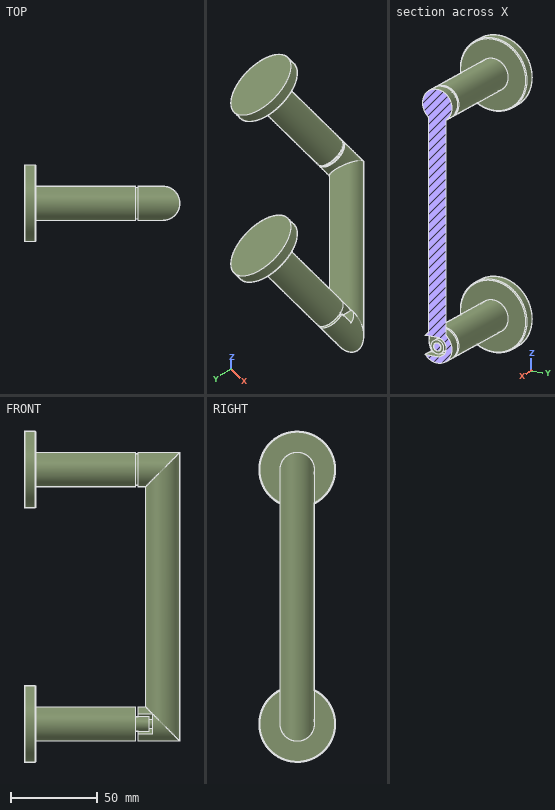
import cadquery as cq

length = 191.8
reach = 90.0

disc_diameter = 44.5
disc_thickness = 6.7
disc_chamfer = 0.5

bar_diameter = 20.0
bar_radius = bar_diameter / 2
leg_height = (length - disc_diameter) / 2
bar_axis_x = reach - bar_radius

gap_start = 64.2
gap_width = 1.3
gap_end = gap_start + gap_width
upper_core_diameter = 18.5

pin_diameter = 8.5
pin_end = 72.0
neck_diameter = 5.0
window_end = 74.0
window_height = 11.5


def rod(diameter, start, end, height):
    """Cylinder along X, with its axis at the given height."""
    return (
        cq.Workplane("YZ", origin=(start, 0, height))
        .circle(diameter / 2)
        .extrude(end - start)
    )


def mitred_handle():
    """Both legs and the vertical bar, with square mitred corners."""
    path = (
        cq.Workplane("XZ")
        .moveTo(0, -leg_height)
        .lineTo(bar_axis_x, -leg_height)
        .lineTo(bar_axis_x, leg_height)
        .lineTo(0, leg_height)
    )
    profile = cq.Workplane("YZ", origin=(0, 0, -leg_height)).circle(bar_radius)
    return profile.sweep(path, transition="right")


def mounting_disc(height):
    disc = rod(disc_diameter, 0, disc_thickness, height)
    return disc.faces(">X").chamfer(disc_chamfer)


def joint_gap(height):
    return rod(2 * bar_diameter, gap_start, gap_end, height)


def lower_window():
    """Round socket about the leg axis, opened towards -Y."""
    depth = window_end - gap_end
    opening = cq.Workplane("XY", origin=(gap_end, -bar_radius, -leg_height)).box(
        depth, bar_radius, window_height, centered=(False, False, True)
    )
    socket = rod(window_height, gap_end, window_end, -leg_height)
    return socket.union(opening)


def lower_pin():
    """Pin bridging the lower joint, with a narrower neck into the elbow."""
    pin = rod(pin_diameter, gap_start, pin_end, -leg_height)
    neck = rod(neck_diameter, gap_start, window_end, -leg_height)
    return pin.union(neck)


result = mitred_handle()
for height in (-leg_height, leg_height):
    result = result.union(mounting_disc(height)).cut(joint_gap(height))

upper_core = rod(upper_core_diameter, gap_start, gap_end, leg_height)
result = result.union(upper_core).cut(lower_window()).union(lower_pin())